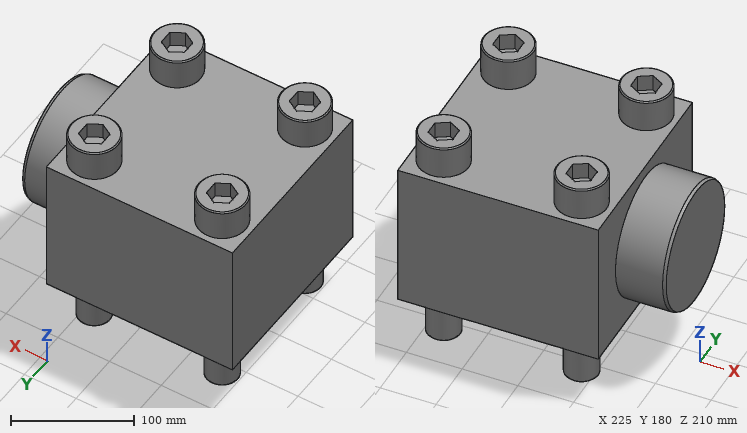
import cadquery as cq
import math

block_side = 180.0
block_height = 136.0

spigot_diameter = 114.3
spigot_length = 45.0
spigot_chamfer_length = 2.7
spigot_chamfer_depth = 1.1

disc_diameter = 135.0
disc_height = 3.5

screw_spacing = 123.8
head_diameter = 45.0
head_height = 30.0
head_chamfer = 1.1
shank_diameter = 30.0
shank_length = 44.0
shank_chamfer = 2.0
socket_across_flats = 22.0
socket_depth = 15.0


def make_block():
    return cq.Workplane("XY").box(block_side, block_side, block_height, centered=(True, True, False))


def make_spigot():
    """Solid cylinder along +X from the block axis, with a chamfered free end."""
    end_x = block_side / 2 + spigot_length
    radius = spigot_diameter / 2
    profile = (
        cq.Workplane("XY")
        .moveTo(0, 0)
        .lineTo(end_x, 0)
        .lineTo(end_x, radius - spigot_chamfer_depth)
        .lineTo(end_x - spigot_chamfer_length, radius)
        .lineTo(0, radius)
        .close()
    )
    return profile.revolve(360, (0, 0, 0), (1, 0, 0)).translate((0, 0, block_height / 2))


def make_disc():
    return cq.Workplane("XY").circle(disc_diameter / 2).extrude(-disc_height)


def make_screw():
    """Head standing on the block, with the shank passing down through it."""
    head = (
        cq.Workplane("XY", origin=(0, 0, block_height))
        .circle(head_diameter / 2)
        .extrude(head_height)
        .faces(">Z")
        .chamfer(head_chamfer)
    )
    shank = (
        cq.Workplane("XY", origin=(0, 0, -shank_length))
        .circle(shank_diameter / 2)
        .extrude(shank_length + block_height)
        .faces("<Z")
        .chamfer(shank_chamfer)
    )
    return head.union(shank)


def make_socket():
    """Hexagonal recess with two corners pointing along Y."""
    across_corners = socket_across_flats / math.cos(math.pi / 6)
    return (
        cq.Workplane("XY", origin=(0, 0, block_height + head_height))
        .transformed(rotate=(0, 0, 90))
        .polygon(6, across_corners)
        .extrude(-socket_depth)
    )


result = make_block().union(make_spigot()).union(make_disc())
for x_side in (-1, 1):
    for y_side in (-1, 1):
        position = (x_side * screw_spacing / 2, y_side * screw_spacing / 2, 0)
        result = result.union(make_screw().translate(position))
        result = result.cut(make_socket().translate(position))